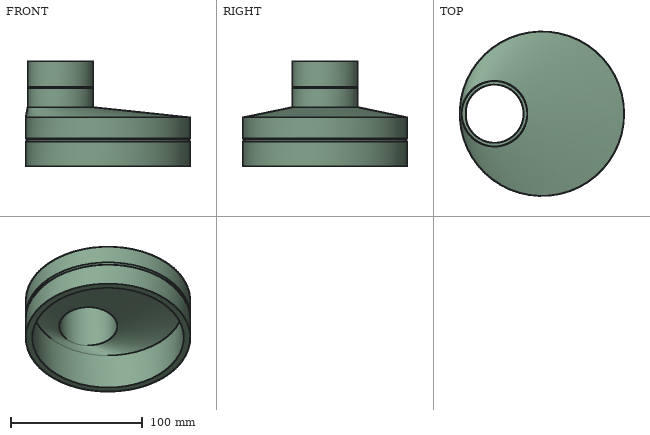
import cadquery as cq

large_radius = 62.5
large_wall = 5.0
large_height = 37.2
large_groove_z = 20.1
large_groove_depth = 1.1
large_groove_half_width = 1.2

small_radius = 25.0
small_wall = 3.0
small_offset = -36.0
small_groove_z = 60.0
small_groove_depth = 0.4
small_groove_half_width = 0.5

shoulder_z = 45.0
total_height = 80.0
roof_thickness = 5.0


def eccentric_body(large_r, small_r, transition_bottom, transition_top):
    """Large cylinder, ruled oblique cone and offset small cylinder."""
    large = cq.Workplane("XY").circle(large_r).extrude(transition_bottom)
    transition = (
        cq.Workplane("XY", origin=(0, 0, transition_bottom))
        .circle(large_r)
        .workplane(offset=transition_top - transition_bottom)
        .center(small_offset, 0)
        .circle(small_r)
        .loft(ruled=True)
    )
    small = (
        cq.Workplane("XY", origin=(small_offset, 0, transition_top))
        .circle(small_r)
        .extrude(total_height - transition_top)
    )
    return large.union(transition).union(small)


def v_groove(center_x, radius, z, depth, half_width):
    """Ring of triangular section, pointing inwards from the given radius."""
    return (
        cq.Workplane("XZ", origin=(center_x, 0, 0))
        .moveTo(radius, z - half_width)
        .lineTo(radius - depth, z)
        .lineTo(radius, z + half_width)
        .close()
        .revolve(360, (0, 0, 0), (0, 1, 0))
    )


outside = eccentric_body(large_radius, small_radius, large_height, shoulder_z)

cavity = eccentric_body(
    large_radius - large_wall,
    small_radius - small_wall,
    large_height - roof_thickness,
    shoulder_z - roof_thickness,
)

large_groove = v_groove(
    0, large_radius, large_groove_z, large_groove_depth, large_groove_half_width
)
small_groove = v_groove(
    small_offset, small_radius, small_groove_z, small_groove_depth, small_groove_half_width
)

result = outside.cut(cavity).cut(large_groove).cut(small_groove)